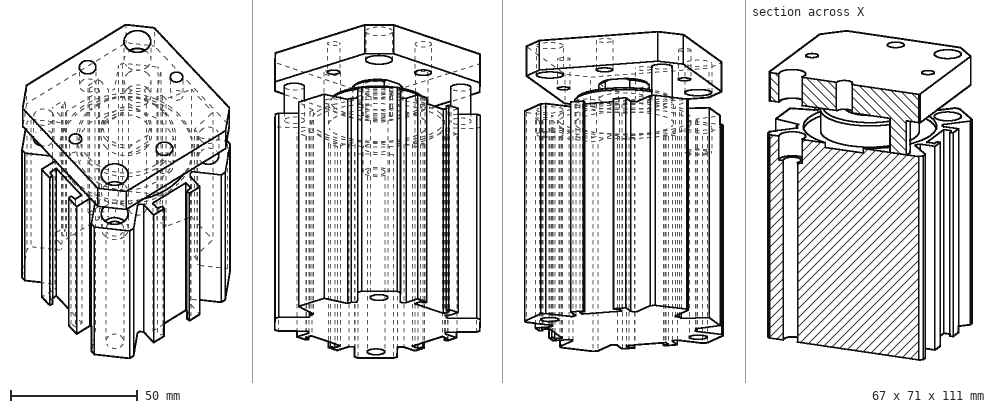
import cadquery as cq
import math

TOTAL_HEIGHT = 111.0
PLATE_THICKNESS = 12.0
HOUSING_HEIGHT = 85.0
BOSS_RISE = 8.0
FLAT_START = 1.5
PLATE_BOTTOM = TOTAL_HEIGHT - PLATE_THICKNESS
BOSS_TOP = HOUSING_HEIGHT + BOSS_RISE

HOUSING_WIDTH = 67.0
HALF_WIDTH = HOUSING_WIDTH / 2
CORNER_CHAMFER = 9.9
GROOVE_ROOT_ALONG = 13.1
GROOVE_ROOT_OUT = 25.0
GROOVE_ROOT_RADIUS = 1.0
HOOK_OUTER = 11.4
HOOK_TIP_OUT = 33.1
SLOT_MOUTH = 6.2
SLOT_THROAT = 6.0
SLOT_INSIDE = 8.2
SLOT_FLOOR_OUT = 28.2
LIP_ROOT_OUT = 31.3
LIP_EDGE_OUT = 31.7
HOOK_BASE_OUT = GROOVE_ROOT_OUT + (GROOVE_ROOT_ALONG - HOOK_OUTER)
CUT_MARGIN = 1.1

RAIL_OUT = 37.5
RAIL_TOP_HALF = 7.0
RAIL_BASE_HALF = 9.3

RECESS_DIAMETER = 52.5
RECESS_DEPTH = 1.9
BOSS_DIAMETER = 39.0
BOSS_CHAMFER = 1.0
PISTON_ROD_DIAMETER = 20.0
PISTON_ROD_CHAMFER = 0.8
FLATS_WIDTH = 17.2
GUIDE_ROD_DIAMETER = 8.0

PLATE_WIDTH = 65.0
PLATE_CHAMFER = 8.0
CORNER_OFFSET = 23.2
ACCESS_DIAMETER = 10.5
BOLT_DIAMETER = 7.0
COUNTERBORE_DEPTH = 10.0
SIDE_HOLE_OFFSET = 25.0
SIDE_HOLE_DIAMETER = 6.5
PIN_HOLE_DIAMETER = 4.9

BOLT_POSITIONS = [(-CORNER_OFFSET, CORNER_OFFSET), (CORNER_OFFSET, -CORNER_OFFSET)]
GUIDE_POSITIONS = [(-CORNER_OFFSET, -CORNER_OFFSET), (CORNER_OFFSET, CORNER_OFFSET)]


def cylinders(positions, diameter, bottom, height):
    """Upright cylinders of one diameter at the given XY positions."""
    return cq.Workplane("XY").workplane(offset=bottom).pushPoints(positions).circle(diameter / 2).extrude(height)


def corner_groove():
    """Cutter for the 45-degree V groove between a corner lug and the middle of the +Y side."""
    reach = GROOVE_ROOT_RADIUS * math.sqrt(0.5)
    tangent_out = GROOVE_ROOT_OUT + reach
    arc_bottom = GROOVE_ROOT_OUT + GROOVE_ROOT_RADIUS * (math.sqrt(2) - 1)
    top = HALF_WIDTH + CUT_MARGIN
    return (
        cq.Workplane("XY")
        .moveTo(HOOK_OUTER, top)
        .lineTo(HOOK_OUTER, HOOK_BASE_OUT)
        .lineTo(GROOVE_ROOT_ALONG - reach, tangent_out)
        .threePointArc((GROOVE_ROOT_ALONG, arc_bottom), (GROOVE_ROOT_ALONG + reach, tangent_out))
        .lineTo(GROOVE_ROOT_ALONG + top - GROOVE_ROOT_OUT, top)
        .close()
        .extrude(HOUSING_HEIGHT)
    )


def t_slot():
    """Cutter for the T-slot in the +Y side, which also sets its hooks slightly back."""
    right_half = [
        (SLOT_INSIDE, SLOT_FLOOR_OUT),
        (SLOT_INSIDE, LIP_ROOT_OUT),
        (SLOT_THROAT, LIP_EDGE_OUT),
        (SLOT_MOUTH, HOOK_TIP_OUT),
        (HOOK_OUTER, HOOK_TIP_OUT),
        (HOOK_OUTER, HALF_WIDTH + CUT_MARGIN),
    ]
    left_half = [(-along, out) for along, out in reversed(right_half)]
    return cq.Workplane("XY").polyline(right_half + left_half).close().extrude(HOUSING_HEIGHT)


def rail_clearance():
    """Cutter that lowers the middle of the +Y side to the foot of the rail."""
    depth = HALF_WIDTH + CUT_MARGIN - HOOK_BASE_OUT
    return (
        cq.Workplane("XY")
        .center(0, HOOK_BASE_OUT + depth / 2)
        .rect(2 * HOOK_OUTER, depth)
        .extrude(HOUSING_HEIGHT)
    )


def rail():
    """Tapered rail standing out of the +Y side."""
    half_base = [(RAIL_BASE_HALF, HOOK_BASE_OUT), (RAIL_TOP_HALF, RAIL_OUT)]
    outline = half_base + [(-along, out) for along, out in reversed(half_base)]
    return cq.Workplane("XY").polyline(outline).close().extrude(HOUSING_HEIGHT)


def make_profile():
    """Extruded housing with corner lugs, three T-slot sides and one rail side."""
    profile = (
        cq.Workplane("XY")
        .rect(HOUSING_WIDTH, HOUSING_WIDTH)
        .extrude(HOUSING_HEIGHT)
        .edges("|Z")
        .chamfer(CORNER_CHAMFER)
    )
    right_groove = corner_groove()
    left_groove = right_groove.mirror("YZ")
    slot = t_slot()
    for turn in (0, 90, 180, 270):
        middle = rail_clearance() if turn == 0 else slot
        for cutter in (right_groove, left_groove, middle):
            profile = profile.cut(cutter.rotate((0, 0, 0), (0, 0, 1), turn))
    return profile.union(rail())


def make_housing():
    """Housing profile with the top recess, the boss for the rod and two counterbored bolt holes."""
    recess_floor = HOUSING_HEIGHT - RECESS_DEPTH
    recess = cylinders([(0, 0)], RECESS_DIAMETER, recess_floor, RECESS_DEPTH)
    boss = cylinders([(0, 0)], BOSS_DIAMETER, recess_floor, BOSS_TOP - recess_floor)
    boss = boss.faces(">Z").edges().chamfer(BOSS_CHAMFER)
    bolt_holes = cylinders(BOLT_POSITIONS, BOLT_DIAMETER, 0, HOUSING_HEIGHT)
    counterbores = cylinders(
        BOLT_POSITIONS, ACCESS_DIAMETER, HOUSING_HEIGHT - COUNTERBORE_DEPTH, COUNTERBORE_DEPTH
    )
    return make_profile().cut(recess).union(boss).cut(bolt_holes).cut(counterbores)


def make_plate():
    """Chamfered end plate with two access holes and two pairs of through holes."""
    plate = (
        cq.Workplane("XY")
        .workplane(offset=PLATE_BOTTOM)
        .rect(PLATE_WIDTH, PLATE_WIDTH)
        .extrude(PLATE_THICKNESS)
        .edges("|Z")
        .chamfer(PLATE_CHAMFER)
    )
    side_positions = [(-SIDE_HOLE_OFFSET, 0), (SIDE_HOLE_OFFSET, 0)]
    pin_positions = [(0, -SIDE_HOLE_OFFSET), (0, SIDE_HOLE_OFFSET)]
    hole_sets = [
        (BOLT_POSITIONS, ACCESS_DIAMETER),
        (side_positions, SIDE_HOLE_DIAMETER),
        (pin_positions, PIN_HOLE_DIAMETER),
    ]
    for positions, diameter in hole_sets:
        plate = plate.cut(cylinders(positions, diameter, PLATE_BOTTOM, PLATE_THICKNESS))
    return plate


def make_piston_rod():
    """Short piston rod from the boss to the plate, with two wrench flats facing -X and +X."""
    rod = cylinders([(0, 0)], PISTON_ROD_DIAMETER, BOSS_TOP, PLATE_BOTTOM - BOSS_TOP)
    rod = rod.faces(">Z").edges().chamfer(PISTON_ROD_CHAMFER)
    flats_bottom = BOSS_TOP + FLAT_START
    flatted_end = (
        cq.Workplane("XY")
        .workplane(offset=flats_bottom)
        .rect(FLATS_WIDTH, PISTON_ROD_DIAMETER)
        .extrude(PLATE_BOTTOM - flats_bottom)
    )
    round_end = cylinders([(0, 0)], PISTON_ROD_DIAMETER, flats_bottom, PLATE_BOTTOM - flats_bottom)
    flat_cutter = round_end.cut(flatted_end)
    return rod.cut(flat_cutter)


def make_moving_plate():
    """End plate in one piece with the piston rod and the two guide rods."""
    guide_rods = cylinders(GUIDE_POSITIONS, GUIDE_ROD_DIAMETER, HOUSING_HEIGHT, PLATE_BOTTOM - HOUSING_HEIGHT)
    return make_plate().union(make_piston_rod()).union(guide_rods)


housing = make_housing()
moving_plate = make_moving_plate()

result = cq.Compound.makeCompound([housing.val(), moving_plate.val()])